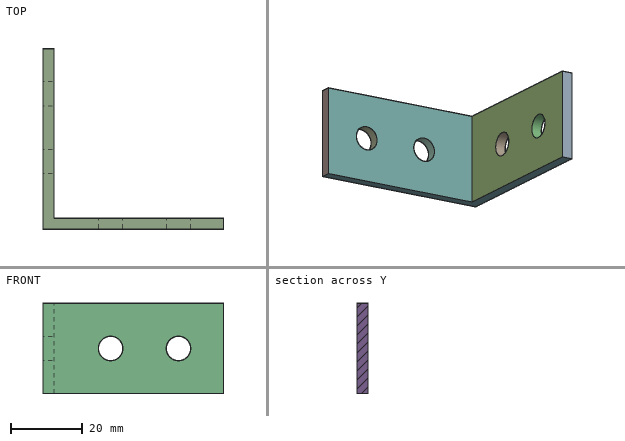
import cadquery as cq

leg_length = 50.8
height = 25.4
thickness = 3.175

hole_diameter = 6.8
hole_pitch = 19.05
holes_per_leg = 2


def angle_profile():
    """L-shaped section with its outer corner at the origin."""
    return (
        cq.Workplane("XY")
        .moveTo(0, 0)
        .lineTo(leg_length, 0)
        .lineTo(leg_length, thickness)
        .lineTo(thickness, thickness)
        .lineTo(thickness, leg_length)
        .lineTo(0, leg_length)
        .close()
    )


def leg_hole(center, direction):
    """Cylinder that passes through one leg, starting on its outer face."""
    return cq.Workplane(cq.Solid.makeCylinder(hole_diameter / 2, thickness, center, direction))


result = angle_profile().extrude(height)

for index in range(1, holes_per_leg + 1):
    distance = index * hole_pitch
    x_leg_center = cq.Vector(distance, 0, height / 2)
    y_leg_center = cq.Vector(0, distance, height / 2)
    result = result.cut(leg_hole(x_leg_center, cq.Vector(0, 1, 0)))
    result = result.cut(leg_hole(y_leg_center, cq.Vector(1, 0, 0)))